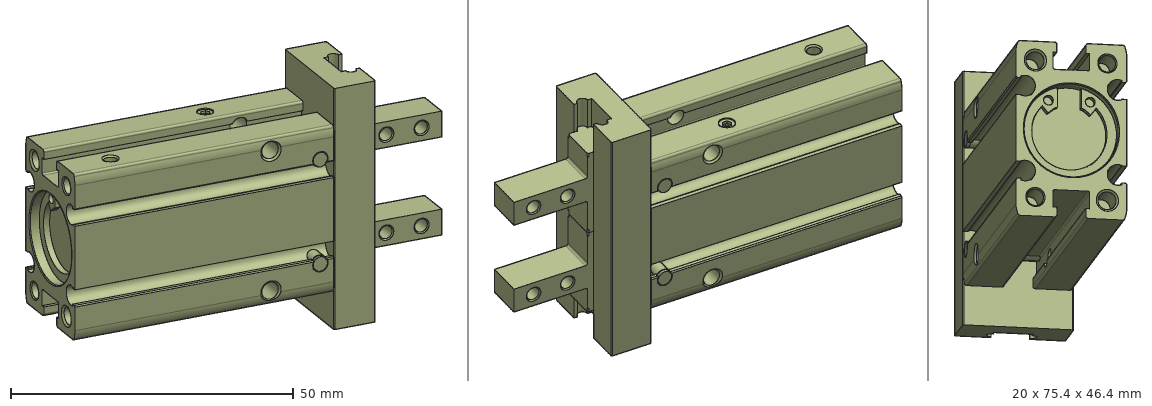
import cadquery as cq
import math


WIDTH = 20.0
LENGTH = 75.4
GUIDE_HEIGHT = 46.4

BODY_LENGTH = 51.05
BODY_HEIGHT = 32.0
CORNER_FILLET = 0.45
CORNER_SETBACK = 0.3
SHOULDER_Z = 13.95

SLOT_NECK_WIDTH = 5.2
SLOT_WIDTH = 6.55
SLOT_LIP_Z = 14.2
SLOT_FLOOR_Z = 11.0
SLOT_NECK_FILLET = 0.45
SLOT_FLOOR_FILLET = 0.3

GROOVE_DIA = 3.8
GROOVE_MOUTH_INNER_Z = 6.1
GROOVE_MOUTH_OUTER_Z = 9.2
GROOVE_BEVEL_DEPTH = 0.2
GROOVE_BEVEL_RISE = 0.2
GROOVE_LIP = 0.9
GROOVE_X = 8.4
GROOVE_Z = 7.8

REAR_HOLE_X = 6.5
REAR_HOLE_Z = 12.5
REAR_HOLE_DEPTH = 6.0
REAR_LARGE_DIA = 3.25
REAR_LARGE_CHAMFER = 0.4
REAR_SMALL_DIA = 3.0
REAR_SMALL_CHAMFER = 0.2
CROSS_HOLE_DIA = 3.25
CROSS_HOLE_CHAMFER = 0.4
CROSS_HOLE_Y = 38.6
CROSS_HOLE_Z = 13.5

PIN_DIA = 3.0
PIN_END_DIA = 2.8
PIN_END_LENGTH = 0.6
PIN_Y = 48.3
PIN_Z = 10.0

BORE_DIA = 17.0
BORE_CHAMFER = 0.19
BORE_DEPTH = 1.95
RING_INNER_DIA = 13.6
RING_THICKNESS = 1.2
RING_GAP = 4.3
EAR_HOLE_DIA = 1.7
EAR_HOLE_X = 3.8
EAR_HOLE_Z = 5.8
EAR_TIP_X = 3.85
EAR_TIP_Z = 3.5
EAR_SHOULDER_X = 2.65
EAR_SHOULDER_Z = 4.45
EAR_EDGE_Z = 4.6
EAR_ROOT_X = 4.8
EAR_ROOT_Z = 4.7

PORT_X = 5.95
PORT_Y = 9.0
PORT_DIA = 2.5
PORT_CHAMFER = 0.3
PORT_DEPTH = 3.8
PLUG_Y = 33.4
PLUG_DIA = 3.0
PLUG_RECESS = 0.2
SOCKET_DIA = 1.8
SOCKET_SIDES = 6
SOCKET_DEPTH = 0.75
SOCKET_PILOT_DIA = 0.8
SOCKET_PILOT_DEPTH = 1.2

GUIDE_THICKNESS = 8.15
GUIDE_CHAMFER = 0.19
RAIL_DEPTH = 3.6
RACEWAY_DIA = 2.0
RACEWAY_SETBACK = 1.7

JAW_WIDTH = 7.0
JAW_BASE_HEIGHT = 17.2
JAW_BASE_PROUD = 1.2
FINGER_HEIGHT = 5.0
FINGER_Z = 9.4
FINGER_FILLET = 0.45
FINGER_HOLE_DIA = 2.5
FINGER_HOLE_CHAMFER = 0.2
FINGER_HOLE_TIP = 4.0
FINGER_HOLE_PITCH = 6.9
FINGER_HOLE_COUNT = 2
NICK_SIZE = 0.3
NICK_LENGTH = 0.7

HALF_WIDTH = WIDTH / 2
BODY_TOP = BODY_HEIGHT / 2
GUIDE_FRONT = BODY_LENGTH + GUIDE_THICKNESS
RAIL_FLOOR = GUIDE_FRONT - RAIL_DEPTH
RACEWAY_Y = GUIDE_FRONT - RACEWAY_SETBACK
JAW_BASE_FRONT = GUIDE_FRONT + JAW_BASE_PROUD
SIDES = (-1, 1)


def rear_plane(y):
    """XZ plane at the given Y, with its normal along +Y and local X reversed."""
    return cq.Workplane(cq.Plane(origin=(0, y, 0), xDir=(-1, 0, 0), normal=(0, 1, 0)))


def chamfered_hole(dia, depth, chamfer, place, direction):
    """Drill shape with a 45 degree countersink at its mouth."""
    shank = cq.Solid.makeCylinder(dia / 2, depth, place, direction)
    mouth = cq.Solid.makeCone(dia / 2 + chamfer, dia / 2, chamfer, place, direction)
    return cq.Workplane(shank).union(cq.Workplane(mouth))


def body_blank():
    """Extrusion with rounded corners and flanks that bow out to the full width."""
    edge_x = HALF_WIDTH - CORNER_SETBACK
    edge_z = BODY_TOP - CORNER_FILLET
    top_x = edge_x - CORNER_FILLET
    diagonal = CORNER_FILLET * math.sqrt(0.5)
    corner_middle = (top_x + diagonal, edge_z + diagonal)
    quarter = (
        rear_plane(0)
        .lineTo(HALF_WIDTH, 0)
        .lineTo(HALF_WIDTH, SHOULDER_Z)
        .tangentArcPoint((edge_x, edge_z), relative=False)
        .threePointArc(corner_middle, (top_x, BODY_TOP))
        .lineTo(0, BODY_TOP)
        .close()
        .extrude(BODY_LENGTH)
    )
    half = quarter.union(quarter.mirror("YZ"))
    return half.union(half.mirror("XY")).clean()


def cut_t_slots(blank):
    """Cut the top and bottom T-slots and round the outer edges of their necks."""
    neck_height = BODY_TOP - SLOT_FLOOR_Z
    wide_height = SLOT_LIP_Z - SLOT_FLOOR_Z
    floor = cq.Workplane("XY", origin=(0, BODY_LENGTH / 2, SLOT_FLOOR_Z))
    wide = floor.rect(SLOT_WIDTH, BODY_LENGTH).extrude(wide_height)
    wide = wide.edges("|Y and <Z").fillet(SLOT_FLOOR_FILLET)
    slot = wide.union(floor.rect(SLOT_NECK_WIDTH, BODY_LENGTH).extrude(neck_height))
    blank = blank.cut(slot).cut(slot.mirror("XY"))
    neck_region = cq.selectors.BoxSelector(
        (-SLOT_WIDTH / 2, 0, -BODY_HEIGHT), (SLOT_WIDTH / 2, BODY_LENGTH, BODY_HEIGHT)
    )
    for z_side in ("<Z", ">Z"):
        blank = blank.edges("|Y").edges(neck_region).edges(z_side).fillet(SLOT_NECK_FILLET)
    return blank


def sensor_groove(x_side, z_side):
    """Round groove behind a thin lip, its narrower mouth bevelled along the outer edge."""
    round_part = rear_plane(0).center(GROOVE_X, GROOVE_Z).circle(GROOVE_DIA / 2).extrude(BODY_LENGTH)
    inside_lip = rear_plane(0).rect(WIDTH - 2 * GROOVE_LIP, BODY_HEIGHT).extrude(BODY_LENGTH)
    mouth = (
        rear_plane(0)
        .moveTo(GROOVE_X, GROOVE_MOUTH_INNER_Z)
        .lineTo(HALF_WIDTH, GROOVE_MOUTH_INNER_Z)
        .lineTo(HALF_WIDTH, GROOVE_MOUTH_OUTER_Z + GROOVE_BEVEL_RISE)
        .lineTo(HALF_WIDTH - GROOVE_BEVEL_DEPTH, GROOVE_MOUTH_OUTER_Z)
        .lineTo(GROOVE_X, GROOVE_MOUTH_OUTER_Z)
        .close()
        .extrude(BODY_LENGTH)
    )
    groove = round_part.intersect(inside_lip).union(mouth)
    if x_side > 0:
        groove = groove.mirror("YZ")
    return groove if z_side > 0 else groove.mirror("XY")


def cross_pin(z_side):
    """Pin across the body, stepped down at both ends."""
    plane = cq.Workplane("YZ", origin=(0, PIN_Y, z_side * PIN_Z))
    core = plane.circle(PIN_DIA / 2).extrude(HALF_WIDTH - PIN_END_LENGTH, both=True)
    ends = plane.circle(PIN_END_DIA / 2).extrude(HALF_WIDTH, both=True)
    return core.union(ends)


def pin_clearance(z_side):
    """Bore around a cross pin, which leaves a fine ring-shaped gap around its stepped ends."""
    plane = cq.Workplane("YZ", origin=(0, PIN_Y, z_side * PIN_Z))
    return plane.circle(PIN_DIA / 2).extrude(HALF_WIDTH, both=True)


def rear_hole(x_side, z_side):
    """Bolt hole in the rear end; the large and small sizes sit on opposite diagonals."""
    is_large = x_side != z_side
    dia = REAR_LARGE_DIA if is_large else REAR_SMALL_DIA
    chamfer = REAR_LARGE_CHAMFER if is_large else REAR_SMALL_CHAMFER
    place = cq.Vector(x_side * REAR_HOLE_X, 0, z_side * REAR_HOLE_Z)
    return chamfered_hole(dia, REAR_HOLE_DEPTH, chamfer, place, cq.Vector(0, 1, 0))


def cross_hole(x_side, z_side):
    """Bolt hole from one side of the body to its middle, where it meets the opposite hole."""
    place = cq.Vector(x_side * HALF_WIDTH, CROSS_HOLE_Y, z_side * CROSS_HOLE_Z)
    inward = cq.Vector(-x_side, 0, 0)
    return chamfered_hole(CROSS_HOLE_DIA, HALF_WIDTH, CROSS_HOLE_CHAMFER, place, inward)


def ring_ear(x_side):
    """Lug of the retaining ring beside the gap in the ring."""
    outline = [
        (RING_GAP / 2, BORE_DIA / 2),
        (RING_GAP / 2, EAR_EDGE_Z),
        (EAR_SHOULDER_X, EAR_SHOULDER_Z),
        (EAR_TIP_X, EAR_TIP_Z),
        (EAR_ROOT_X, EAR_ROOT_Z),
        (EAR_ROOT_X, BORE_DIA / 2),
    ]
    outline = [(-x_side * x, z) for x, z in outline]
    return rear_plane(BORE_DEPTH).polyline(outline).close().extrude(RING_THICKNESS)


def rear_bore():
    """Shallow chamfered bore, and below it the opening of a retaining ring with two lugs."""
    bore = chamfered_hole(BORE_DIA, BORE_DEPTH, BORE_CHAMFER, cq.Vector(), cq.Vector(0, 1, 0))
    ring_plane = rear_plane(BORE_DEPTH)
    opening = ring_plane.circle(RING_INNER_DIA / 2).extrude(RING_THICKNESS)
    gap = ring_plane.center(0, BORE_DIA / 4).rect(RING_GAP, BORE_DIA / 2).extrude(RING_THICKNESS)
    disc = ring_plane.circle(BORE_DIA / 2).extrude(RING_THICKNESS)
    opening = opening.union(gap.intersect(disc))
    for x_side in SIDES:
        opening = opening.cut(ring_ear(x_side))
    ear_holes = [(x_side * EAR_HOLE_X, EAR_HOLE_Z) for x_side in SIDES]
    holes = ring_plane.pushPoints(ear_holes).circle(EAR_HOLE_DIA / 2).extrude(RING_THICKNESS)
    return bore.union(opening).union(holes)


def air_port():
    """Blind port, countersunk at the top face."""
    place = cq.Vector(PORT_X, PORT_Y, BODY_TOP)
    return chamfered_hole(PORT_DIA, PORT_DEPTH, PORT_CHAMFER, place, cq.Vector(0, 0, -1))


def plug_screw_recess():
    """Recess above a plug screw, with the screw's hexagon socket and its pilot hole."""
    top = cq.Workplane("XY", origin=(-PORT_X, PLUG_Y, BODY_TOP))
    recess = top.circle(PLUG_DIA / 2).extrude(-PLUG_RECESS)
    socket = top.transformed(rotate=(0, 0, 180 / SOCKET_SIDES)).polygon(SOCKET_SIDES, SOCKET_DIA).extrude(-SOCKET_DEPTH)
    pilot = top.circle(SOCKET_PILOT_DIA / 2).extrude(-SOCKET_PILOT_DEPTH)
    return recess.union(socket).union(pilot)


def make_body():
    """Extruded body with its slots, grooves, holes, cross pins and rear bore."""
    body = cut_t_slots(body_blank())
    for z_side in SIDES:
        for x_side in SIDES:
            body = body.cut(sensor_groove(x_side, z_side))
            body = body.cut(rear_hole(x_side, z_side))
            body = body.cut(cross_hole(x_side, z_side))
        body = body.cut(pin_clearance(z_side)).union(cross_pin(z_side))
    return body.cut(rear_bore()).cut(air_port()).cut(plug_screw_recess())


def rail_section(length):
    """Sliding section shared by guide and jaws: a bar with a round rib on each side."""
    bar_depth = GUIDE_FRONT - RAIL_FLOOR
    bar = cq.Workplane().center(0, RAIL_FLOOR + bar_depth / 2).rect(JAW_WIDTH, bar_depth).extrude(length)
    rib_places = [(x_side * JAW_WIDTH / 2, RACEWAY_Y) for x_side in SIDES]
    ribs = cq.Workplane().pushPoints(rib_places).circle(RACEWAY_DIA / 2).extrude(length)
    return bar.union(ribs)


def make_guide():
    """Plate with chamfered upright edges and a rail slot along its full height."""
    plate = cq.Workplane().box(WIDTH, GUIDE_THICKNESS, GUIDE_HEIGHT).edges("|Z").chamfer(GUIDE_CHAMFER)
    plate = plate.translate((0, BODY_LENGTH + GUIDE_THICKNESS / 2, 0))
    slot = rail_section(GUIDE_HEIGHT).translate((0, 0, -GUIDE_HEIGHT / 2))
    return plate.cut(slot)


def jaw_nick(x_side, z, z_inward):
    """Short chamfer at the end of an upright front edge of the jaw base."""
    corner = x_side * JAW_WIDTH / 2
    outline = [
        (corner, JAW_BASE_FRONT),
        (corner - x_side * NICK_SIZE, JAW_BASE_FRONT),
        (corner, JAW_BASE_FRONT - NICK_SIZE),
    ]
    plane = cq.Workplane("XY", origin=(0, 0, z))
    return plane.polyline(outline).close().extrude(z_inward * NICK_LENGTH)


def make_jaw(z_side):
    """Upper (+1) or lower (-1) jaw: sliding base and a drilled finger."""
    finger_low = FINGER_Z - FINGER_HEIGHT / 2
    finger_high = FINGER_Z + FINGER_HEIGHT / 2
    outline = [
        (RAIL_FLOOR, 0),
        (JAW_BASE_FRONT, 0),
        (JAW_BASE_FRONT, finger_low),
        (LENGTH, finger_low),
        (LENGTH, finger_high),
        (JAW_BASE_FRONT, finger_high),
        (JAW_BASE_FRONT, JAW_BASE_HEIGHT),
        (RAIL_FLOOR, JAW_BASE_HEIGHT),
    ]
    jaw = cq.Workplane("YZ").polyline(outline).close().extrude(JAW_WIDTH / 2, both=True)
    finger_roots = cq.selectors.BoxSelector(
        (-JAW_WIDTH, JAW_BASE_FRONT - FINGER_FILLET, finger_low - FINGER_FILLET),
        (JAW_WIDTH, JAW_BASE_FRONT + FINGER_FILLET, finger_high + FINGER_FILLET),
    )
    jaw = jaw.edges("|X").edges(finger_roots).fillet(FINGER_FILLET)
    jaw = jaw.union(rail_section(JAW_BASE_HEIGHT))
    for x_side in SIDES:
        jaw = jaw.cut(jaw_nick(x_side, 0, 1)).cut(jaw_nick(x_side, JAW_BASE_HEIGHT, -1))
        for index in range(FINGER_HOLE_COUNT):
            hole_y = LENGTH - FINGER_HOLE_TIP - index * FINGER_HOLE_PITCH
            place = cq.Vector(x_side * JAW_WIDTH / 2, hole_y, FINGER_Z)
            inward = cq.Vector(-x_side, 0, 0)
            hole = chamfered_hole(FINGER_HOLE_DIA, JAW_WIDTH / 2, FINGER_HOLE_CHAMFER, place, inward)
            jaw = jaw.cut(hole)
    return jaw if z_side > 0 else jaw.mirror("XY")


body = make_body()
guide = make_guide()
jaws = [make_jaw(z_side) for z_side in SIDES]

result = cq.Compound.makeCompound([part.solids().val() for part in (body, guide, *jaws)])